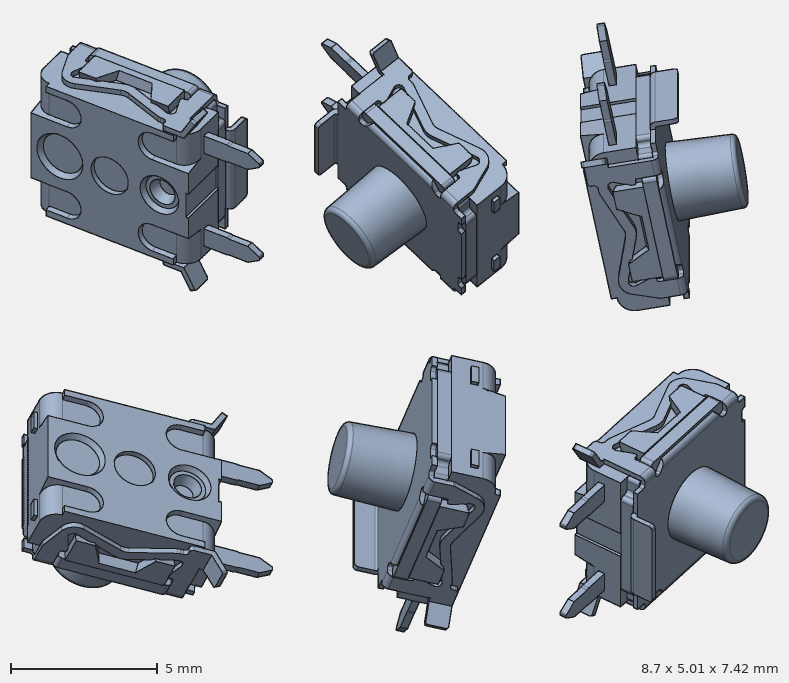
import cadquery as cq
import math


SMALLEST_EDGE = 0.0001

BODY_HALF_X = 3.17
BODY_HALF_Z = 2.79
BODY_TOP = 1.92

POCKET_DEPTH = 0.2
CORNER_RADIUS = 0.61
KEEL_HALF_Z = 1.4
DRAFT_ANGLE = 10.0
KEEL_TOP = POCKET_DEPTH + CORNER_RADIUS
SLOT_WIDTH = 1.13
SLOT_END_X = 1.15

RECESS_X = 2.0
LEFT_RECESS_DIAMETERS = (1.845, 1.58)
MIDDLE_RECESS_DIAMETER = 1.5
RIGHT_RECESS_DIAMETERS = (1.55, 1.32)
RIGHT_HOLE_DIAMETERS = (1.01, 0.73)
RIGHT_HOLE_DEPTH = 0.42

EDGE_NOTCH_DEPTH = 0.105
EDGE_NOTCH_HALF_Z = 0.51

UPPER_HALF_X = 3.14
UPPER_TOP = 2.42
UPPER_STEP_Z = 1.96
UPPER_ROUND = 0.16
UPPER_STEP_DEPTH = 0.35
BLOCK_HALF_Z = 3.115

HOOK_HALF_X = 1.8
HOOK_HALF_Z = 3.17
HOOK_BOTTOM = 0.87
HOOK_NOTCH_MOUTH_HALF_X = 1.105
HOOK_NOTCH_ROOF_HALF_X = 0.66
HOOK_NOTCH_ROOF = 1.66
HOOK_LEAN = 0.105

COVER_TOP = 2.6
COVER_HALF_Z = 3.0
COVER_HALF_X = 3.115
COVER_BEND_RADIUS = 0.23
COVER_SHOULDER_Z = 2.6
COVER_NOTCH_DEPTH = 0.17
COVER_NOTCH_Z = (1.56, 2.17)
COVER_CORNER = 0.105
LIP_HALF_X = (1.81, 1.505)

LEG_OUTER_X = 2.72
LEG_INNER_X = 2.06
LEG_REAR_X = 2.68
LEG_BOTTOM = 0.06
LEG_KNEE = (1.69, 0.17)
LEG_STEP_Y = 0.38
LEG_STEP_ROUNDS = (0.14, 0.12)

BAND_LOWER_LEFT = (-2.19, 0.235, 0.56)
BAND_LOWER_PEAK = (0, 1.0, 0.48)
BAND_LOWER_RIGHT = (1.75, LEG_STEP_Y, 0.35)
BAND_UPPER_LEFT = (-2.22, 0.59, 0.18)
BAND_UPPER_PEAK = (0, 1.38, 0.7)

LEDGE_X = 1.845
LEDGE_TOP = 1.69
LEDGE_BOTTOM = 1.53
LEDGE_ROUND = 0.08

FLARE_TOP = 0.88
FLARE_START_X = 2.83
FLARE_ANGLE = 60.0
FLARE_TIP_Z = 3.71
FLARE_CORNER = 0.09

REAR_TAB_HALF_Z = 1.69
REAR_TAB_TOP = 3.41
REAR_TAB_X = 3.39
REAR_TAB_CORNER = 0.14
REAR_TAB_BENDS = (0.21, 0.09)

PIN_Z = 2.0
PIN_WIDTH = 0.74
PIN_TIP_WIDTH = 0.69
PIN_BOTTOM = 0.99
PIN_TOP = 1.25
PIN_STUB_X = -3.3
PIN_STEP_START_X = 4.09
PIN_STEP_END_X = 4.18
PIN_TAPER_X = 4.93
PIN_TIP_X = 5.4
PIN_TIP_FLAT = 0.13
PIN_TIP_ROUND = 0.105

BUTTON_BASE_RADIUS = 1.36
BUTTON_TOP_RADIUS = 1.27
BUTTON_TOP = 5.01
BUTTON_ROUND = 0.17


def rounded_outline(plane, corners):
    """Closed wire through (u, v, radius) corners; a radius of 0 keeps the corner sharp."""
    count = len(corners)
    wire = plane
    pen = None
    for i, (u, v, radius) in enumerate(corners):
        before = cq.Vector(*corners[i - 1][:2])
        after = cq.Vector(*corners[(i + 1) % count][:2])
        corner = cq.Vector(u, v)
        to_before = (before - corner).normalized()
        to_after = (after - corner).normalized()
        half_angle = to_before.getAngle(to_after) / 2
        setback = radius / math.tan(half_angle)
        bulge = radius / math.sin(half_angle) - radius
        start = corner + to_before * setback
        middle = corner + (to_before + to_after).normalized() * bulge
        end = corner + to_after * setback
        if pen is None:
            wire = wire.moveTo(start.x, start.y)
        elif (start - pen).Length > SMALLEST_EDGE:
            wire = wire.lineTo(start.x, start.y)
        if radius:
            wire = wire.threePointArc((middle.x, middle.y), (end.x, end.y))
        pen = end
    return wire.close()


def mirrored_corners(half):
    """Corners of one half followed by the same corners mirrored to the other side of v = 0."""
    return half + [(u, -v, radius) for u, v, radius in reversed(half)]


def slab_y(corners, bottom, top):
    """Plate with an X-Z outline, between two heights along Y."""
    plane = cq.Workplane("XZ", origin=(0, top, 0))
    return rounded_outline(plane, corners).extrude(top - bottom)


def slab_z(corners, near, far):
    """Plate with an X-Y outline, between two depths along Z."""
    plane = cq.Workplane("XY", origin=(0, 0, near))
    return rounded_outline(plane, corners).extrude(far - near)


def both_sides(shape):
    """The shape together with its mirror image across Z = 0."""
    return shape.union(shape.mirror("XY"))


def round_recess(x, diameters, start, depth):
    """Conical cutter that runs from the first diameter to the second along +Y."""
    outer, inner = diameters
    cone = cq.Solid.makeCone(outer / 2, inner / 2, depth, cq.Vector(x, start, 0), cq.Vector(0, 1, 0))
    return cq.Workplane(cone)


def lower_housing():
    rounded_x = BODY_HALF_X - CORNER_RADIUS
    body = slab_z(
        [
            (-BODY_HALF_X, BODY_TOP, 0),
            (-BODY_HALF_X, POCKET_DEPTH, CORNER_RADIUS),
            (-rounded_x, POCKET_DEPTH, 0),
            (-rounded_x, 0, 0),
            (rounded_x, 0, 0),
            (rounded_x, POCKET_DEPTH, 0),
            (BODY_HALF_X, POCKET_DEPTH, CORNER_RADIUS),
            (BODY_HALF_X, BODY_TOP, 0),
        ],
        -BODY_HALF_Z,
        BODY_HALF_Z,
    )
    keel_top_half_z = KEEL_HALF_Z + KEEL_TOP * math.tan(math.radians(DRAFT_ANGLE))
    keel = (
        cq.Workplane("YZ", origin=(-BODY_HALF_X, 0, 0))
        .polyline(
            [
                (0, -KEEL_HALF_Z),
                (0, KEEL_HALF_Z),
                (KEEL_TOP, keel_top_half_z),
                (KEEL_TOP, -keel_top_half_z),
            ]
        )
        .close()
        .extrude(2 * BODY_HALF_X)
    )
    body = body.union(keel)

    slot_length = 2 * (BODY_HALF_X - SLOT_END_X)
    slot_z = KEEL_HALF_Z + SLOT_WIDTH / 2
    slots = (
        cq.Workplane("XZ")
        .rarray(2 * BODY_HALF_X, 2 * slot_z, 2, 2)
        .slot2D(slot_length, SLOT_WIDTH)
        .extrude(-POCKET_DEPTH, taper=DRAFT_ANGLE)
    )
    body = body.cut(slots)

    body = body.cut(round_recess(-RECESS_X, LEFT_RECESS_DIAMETERS, 0, POCKET_DEPTH))
    body = body.cut(round_recess(RECESS_X, RIGHT_RECESS_DIAMETERS, 0, POCKET_DEPTH))
    body = body.cut(round_recess(RECESS_X, RIGHT_HOLE_DIAMETERS, POCKET_DEPTH, RIGHT_HOLE_DEPTH))
    middle = cq.Workplane("XZ").circle(MIDDLE_RECESS_DIAMETER / 2).extrude(-POCKET_DEPTH)
    notch = cq.Workplane("XY").box(2 * EDGE_NOTCH_DEPTH, 2 * BODY_TOP, 2 * EDGE_NOTCH_HALF_Z)
    return body.cut(middle).cut(notch.translate((BODY_HALF_X, 0, 0)))


def upper_housing():
    step_x = UPPER_HALF_X - UPPER_STEP_DEPTH
    step_z = UPPER_STEP_Z + UPPER_ROUND
    right_half = [
        (LEG_INNER_X, BLOCK_HALF_Z, UPPER_ROUND),
        (LEG_INNER_X, BODY_HALF_Z, 0),
        (step_x, BODY_HALF_Z, UPPER_ROUND),
        (step_x, step_z, UPPER_ROUND),
        (UPPER_HALF_X, step_z, UPPER_ROUND),
    ]
    left_half = [(-x, z, radius) for x, z, radius in reversed(right_half)]
    return slab_y(mirrored_corners(left_half + right_half), BODY_TOP, UPPER_TOP)


def hook_prism(outer_bottom, inner_bottom):
    """Full-width bar beside the housing whose underside leans towards its outer face."""
    return (
        cq.Workplane("YZ", origin=(-HOOK_HALF_X, 0, 0))
        .polyline(
            [
                (outer_bottom, HOOK_HALF_Z),
                (BODY_TOP, HOOK_HALF_Z),
                (BODY_TOP, BODY_HALF_Z),
                (inner_bottom, BODY_HALF_Z),
            ]
        )
        .close()
        .extrude(2 * HOOK_HALF_X)
    )


def hook():
    bar = hook_prism(HOOK_BOTTOM, HOOK_BOTTOM + HOOK_LEAN)
    above_notch = hook_prism(HOOK_NOTCH_ROOF, HOOK_NOTCH_ROOF - HOOK_LEAN)
    notch = slab_z(
        [
            (-HOOK_NOTCH_MOUTH_HALF_X, HOOK_BOTTOM, 0),
            (-HOOK_NOTCH_ROOF_HALF_X, HOOK_NOTCH_ROOF, 0),
            (HOOK_NOTCH_ROOF_HALF_X, HOOK_NOTCH_ROOF, 0),
            (HOOK_NOTCH_MOUTH_HALF_X, HOOK_BOTTOM, 0),
        ],
        BODY_HALF_Z,
        HOOK_HALF_Z,
    )
    return bar.cut(notch.cut(above_notch))


def cover_plate():
    notch_x = COVER_HALF_X - COVER_NOTCH_DEPTH
    lip_root_x, lip_end_x = LIP_HALF_X
    notch_start, notch_end = COVER_NOTCH_Z
    half = [
        (-COVER_HALF_X, notch_start, 0),
        (-notch_x, notch_start, COVER_CORNER),
        (-notch_x, notch_end, COVER_CORNER),
        (-COVER_HALF_X, notch_end, 0),
        (-COVER_HALF_X, COVER_SHOULDER_Z, 0),
        (-LEG_OUTER_X, COVER_SHOULDER_Z, COVER_CORNER),
        (-LEG_OUTER_X, COVER_HALF_Z, 0),
        (-LEG_INNER_X, COVER_HALF_Z, 0),
        (-LEG_INNER_X, COVER_SHOULDER_Z, COVER_CORNER),
        (-lip_root_x, COVER_SHOULDER_Z, COVER_CORNER),
        (-lip_end_x, COVER_HALF_Z, 0),
        (lip_end_x, COVER_HALF_Z, 0),
        (lip_root_x, COVER_SHOULDER_Z, COVER_CORNER),
        (LEG_INNER_X, COVER_SHOULDER_Z, COVER_CORNER),
        (LEG_INNER_X, COVER_HALF_Z, 0),
        (LEG_REAR_X, COVER_HALF_Z, 0),
        (LEG_REAR_X, COVER_SHOULDER_Z, COVER_CORNER),
        (COVER_HALF_X, COVER_SHOULDER_Z, 0),
    ]
    return slab_y(mirrored_corners(half), UPPER_TOP, COVER_TOP)


def leg():
    """Side plate of the cover: two legs joined by a bent band that passes under the hook."""
    knee_y, knee_round = LEG_KNEE
    upper_step_round, lower_step_round = LEG_STEP_ROUNDS
    outline = slab_z(
        [
            (-LEG_OUTER_X, COVER_TOP, 0),
            (-LEG_OUTER_X, knee_y, knee_round),
            BAND_LOWER_LEFT,
            BAND_LOWER_PEAK,
            BAND_LOWER_RIGHT,
            (LEG_INNER_X, LEG_STEP_Y, upper_step_round),
            (LEG_INNER_X, LEG_BOTTOM, lower_step_round),
            (FLARE_START_X, LEG_BOTTOM, 0),
            (FLARE_START_X, FLARE_TOP, 0),
            (LEG_REAR_X, FLARE_TOP, 0),
            (LEG_REAR_X, COVER_TOP, 0),
        ],
        BODY_HALF_Z,
        COVER_HALF_Z,
    )
    opening_left = [
        (-LEG_INNER_X, COVER_TOP, 0),
        (-LEG_INNER_X, LEDGE_TOP, LEDGE_ROUND),
        (-LEDGE_X, LEDGE_TOP, LEDGE_ROUND),
        (-LEDGE_X, LEDGE_BOTTOM, LEDGE_ROUND),
        BAND_UPPER_LEFT,
    ]
    opening_right = [(-x, y, radius) for x, y, radius in reversed(opening_left)]
    opening = slab_z(opening_left + [BAND_UPPER_PEAK] + opening_right, BODY_HALF_Z, COVER_HALF_Z)
    return outline.cut(opening)


def flare():
    """Spring tab that bends outwards from the rear end of a leg."""
    thickness = COVER_HALF_Z - BODY_HALF_Z
    angle = math.radians(FLARE_ANGLE)
    tip_x = FLARE_START_X + (FLARE_TIP_Z - COVER_HALF_Z) / math.tan(angle)
    inner_bend_x = FLARE_START_X + thickness * math.tan(angle / 2)
    tab = slab_y(
        [
            (LEG_REAR_X, BODY_HALF_Z, 0),
            (LEG_REAR_X, COVER_HALF_Z, 0),
            (FLARE_START_X, COVER_HALF_Z, 0),
            (tip_x, FLARE_TIP_Z, 0),
            (tip_x + thickness * math.sin(angle), FLARE_TIP_Z - thickness * math.cos(angle), 0),
            (inner_bend_x, BODY_HALF_Z, 0),
        ],
        LEG_BOTTOM,
        FLARE_TOP,
    )
    tip_normal = cq.Vector(math.cos(angle), 0, math.sin(angle))
    tip_edges = tab.faces(cq.selectors.DirectionMinMaxSelector(tip_normal, True))
    return tip_edges.edges("not |Y").fillet(FLARE_CORNER)


def rear_tab():
    thickness = COVER_TOP - UPPER_TOP
    inner_x = REAR_TAB_X - thickness
    outer_bend, inner_bend = REAR_TAB_BENDS
    strip = slab_z(
        [
            (LEG_REAR_X, UPPER_TOP, 0),
            (REAR_TAB_X, UPPER_TOP, outer_bend),
            (REAR_TAB_X, REAR_TAB_TOP, 0),
            (inner_x, REAR_TAB_TOP, 0),
            (inner_x, COVER_TOP, inner_bend),
            (LEG_REAR_X, COVER_TOP, 0),
        ],
        -REAR_TAB_HALF_Z,
        REAR_TAB_HALF_Z,
    )
    return strip.faces(">Y").edges("|X").fillet(REAR_TAB_CORNER)


def cover():
    sheet = cover_plate().union(both_sides(leg()))
    bent_envelope = (
        cq.Workplane("XY")
        .box(2 * COVER_HALF_X, 2 * COVER_TOP, 2 * COVER_HALF_Z)
        .faces(">Y")
        .edges("|X")
        .fillet(COVER_BEND_RADIUS)
    )
    return sheet.intersect(bent_envelope).union(both_sides(flare())).union(rear_tab())


def terminal():
    half = [
        (PIN_STUB_X, PIN_WIDTH / 2, 0),
        (PIN_STEP_START_X, PIN_WIDTH / 2, 0),
        (PIN_STEP_END_X, PIN_TIP_WIDTH / 2, 0),
        (PIN_TAPER_X, PIN_TIP_WIDTH / 2, 0),
        (PIN_TIP_X, PIN_TIP_FLAT / 2, PIN_TIP_ROUND / 2),
    ]
    return slab_y(mirrored_corners(half), PIN_BOTTOM, PIN_TOP).translate((0, 0, PIN_Z))


def button():
    return (
        cq.Workplane("XY")
        .polyline(
            [
                (0, UPPER_TOP),
                (BUTTON_BASE_RADIUS, UPPER_TOP),
                (BUTTON_BASE_RADIUS, COVER_TOP),
                (BUTTON_TOP_RADIUS, BUTTON_TOP),
                (0, BUTTON_TOP),
            ]
        )
        .close()
        .revolve(360, (0, 0), (0, 1))
        .faces(">Y")
        .edges()
        .fillet(BUTTON_ROUND)
    )


result = (
    lower_housing()
    .union(upper_housing())
    .union(both_sides(hook()))
    .union(cover())
    .union(both_sides(terminal()))
    .union(button())
)